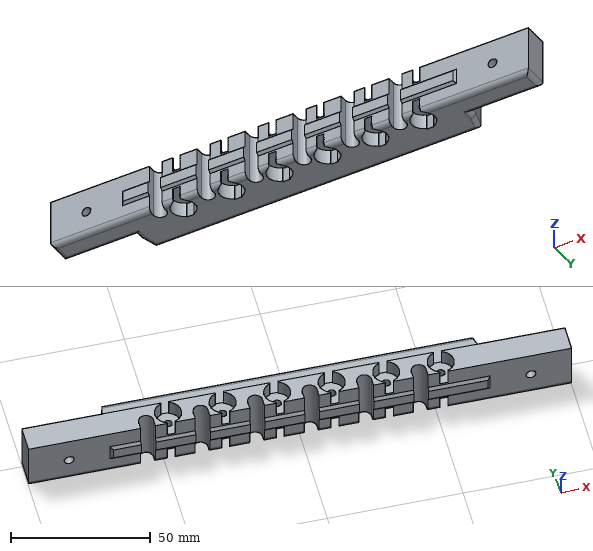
import cadquery as cq

bar_length = 200
bar_depth = 10
bar_height = 20
edge_radius = 2

block_length = 140
block_depth = 10
block_height = 13.2
block_edge_radius = 1.5
block_straight_depth = 3.0
block_end_lean = 2

rail_length = block_length
rail_height = 6.5
rail_depth = 1.0
rail_taper_angle = 45

station_count = 6
station_row_length = 100.5
station_pitch = station_row_length / (station_count - 1)
first_slot_x = 44
slot_to_hole = 8.5
slot_width = 5.5
slot_depth = 5.5
hole_diameter = 3.0
counterbore_diameter = 9.5
counterbore_depth = 6
cross_slot_width = 3.0

mount_diameter = 3.5
mount_end_distance = 15.0

mid_x = bar_length / 2
mid_z = bar_height / 2
hole_y = bar_depth / 2


def make_body():
    """Bar and backing block with rounded bottom edges and a rounded back top edge."""
    bar = cq.Workplane("XY").box(bar_length, bar_depth, bar_height, centered=False)
    half_length = block_length / 2
    back_y = bar_depth + block_depth
    lean_y = bar_depth + block_straight_depth
    block = (
        cq.Workplane("XY")
        .moveTo(mid_x - half_length, bar_depth)
        .lineTo(mid_x - half_length, lean_y)
        .lineTo(mid_x - half_length + block_end_lean, back_y)
        .lineTo(mid_x + half_length - block_end_lean, back_y)
        .lineTo(mid_x + half_length, lean_y)
        .lineTo(mid_x + half_length, bar_depth)
        .close()
        .extrude(block_height)
    )
    block = block.faces(">Y").edges(">Z").fillet(block_edge_radius)
    return bar.union(block).faces("<Z").edges().fillet(edge_radius)


def make_rail():
    """Low rail on the front face, narrowing on all four sides."""
    return (
        cq.Workplane("XZ", origin=(mid_x, 0, mid_z))
        .rect(rail_length, rail_height)
        .extrude(rail_depth, taper=rail_taper_angle)
    )


def make_slot(x):
    """Round-bottomed slot cut into the front face over the full height."""
    radius = slot_width / 2
    front_y = -rail_depth
    return (
        cq.Workplane("XY")
        .moveTo(x - radius, front_y)
        .lineTo(x - radius, slot_depth - radius)
        .threePointArc((x, slot_depth), (x + radius, slot_depth - radius))
        .lineTo(x + radius, front_y)
        .close()
        .extrude(bar_height)
    )


def make_hole(x):
    """Vertical through hole, counterbored and crossed by a slot at both ends."""

    hole = cq.Workplane("XY", origin=(x, hole_y, 0)).circle(hole_diameter / 2).extrude(bar_height)
    for bottom in (0, bar_height - counterbore_depth):
        floor = cq.Workplane("XY", origin=(x, hole_y, bottom))
        counterbore = floor.circle(counterbore_diameter / 2).extrude(counterbore_depth)
        cross_slot = floor.rect(cross_slot_width, bar_depth).extrude(counterbore_depth)
        hole = hole.union(counterbore).union(cross_slot)
    return hole


def make_mount_hole(x):
    """Horizontal hole through the bar."""
    return cq.Workplane("XZ", origin=(x, 0, mid_z)).circle(mount_diameter / 2).extrude(-bar_depth)


result = make_body().union(make_rail())

for station in range(station_count):
    slot_x = first_slot_x + station * station_pitch
    result = result.cut(make_slot(slot_x))
    result = result.cut(make_hole(slot_x + slot_to_hole))

for mount_x in (mount_end_distance, bar_length - mount_end_distance):
    result = result.cut(make_mount_hole(mount_x))